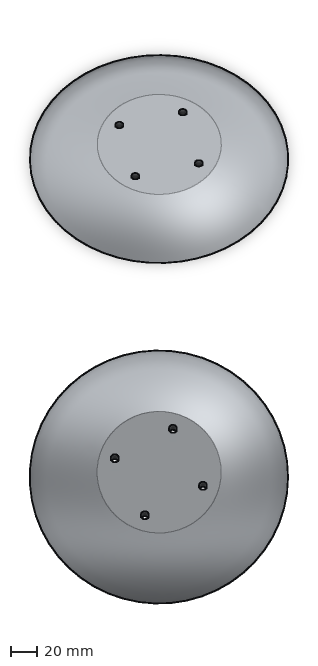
import cadquery as cq
import math

base_diameter = 195.8
top_diameter = 94.0
height = 19.0
dome_radius = 180.2
hole_diameter = 6.0
hole_circle_radius = 35.0
hole_count = 4

base_radius = base_diameter / 2
top_radius = top_diameter / 2


def bulge_point():
    """Middle of the side arc, as (radius, height)."""
    chord_run = base_radius - top_radius
    chord = math.hypot(chord_run, height)
    sagitta = dome_radius - math.sqrt(dome_radius**2 - (chord / 2) ** 2)
    middle_radius = (base_radius + top_radius) / 2
    return (
        middle_radius + sagitta * height / chord,
        height / 2 + sagitta * chord_run / chord,
    )


dome = (
    cq.Workplane("XZ")
    .lineTo(base_radius, 0)
    .threePointArc(bulge_point(), (top_radius, height))
    .lineTo(0, height)
    .close()
    .revolve(360, (0, 0), (0, 1))
)

holes = (
    cq.Workplane("XY")
    .polarArray(hole_circle_radius, 0, 360, hole_count)
    .circle(hole_diameter / 2)
    .extrude(height)
)

result = dome.cut(holes)